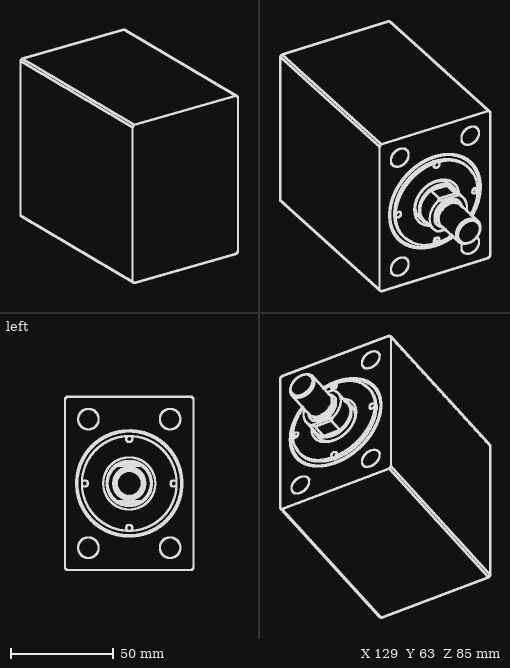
import cadquery as cq
total_length = 129.0
housing_width = 63.0
housing_height = 85.0
housing_front = 32.9
housing_edge_chamfer = 1.0

mount_hole_radius = 5.0
mount_hole_depth = 23.2
mount_spacing_y = 40.0
mount_spacing_z = 63.0

gland_front = 31.2
gland_radius = 23.2
gland_end = 51.6
ring_radius = 25.4
ring_thickness = 7.7
ring_end = housing_front + ring_thickness
bore_chamfer = 0.6
recess_radius = 12.8
recess_depth = 1.5

spanner_hole_count = 4
spanner_hole_radius = 1.5
spanner_hole_depth = 3.9
spanner_circle_radius = 21.8

drill_point_ratio = 0.6

rod_radius = 11.1
flats_radius = 10.6
flats_half_width = 9.5
flats_start = 20.0
flats_end = 29.2
flats_chamfer = 0.9
thread_radius = 7.0
thread_end = 17.7
thread_tip_chamfer = 0.8
neck_radius = 5.8
neck_start = 18.2
neck_end = 19.5
neck_root_radius = neck_radius + flats_start - neck_end
groove_radius = 7.9
groove_depth = 1.5


def revolve_about_x(points):
    """Solid of revolution about the X axis from (x, radius) points."""
    return cq.Workplane("XY").polyline(points).close().revolve(360, (0, 0, 0), (1, 0, 0))


def cylinder_x(radius, start, end):
    """Solid cylinder on the X axis."""
    return cq.Workplane("YZ", origin=(start, 0, 0)).circle(radius).extrude(end - start)


def drilled_hole(radius, start, depth):
    """Cutter for a blind hole along X with a conical bottom."""
    bottom = start + depth
    apex = bottom + radius * drill_point_ratio
    return revolve_about_x([(start, 0), (start, radius), (bottom, radius), (apex, 0)])


def make_housing():
    length = total_length - housing_front
    body = (
        cq.Workplane("YZ", origin=(housing_front, 0, 0))
        .rect(housing_width, housing_height)
        .extrude(length)
        .edges("|X")
        .chamfer(housing_edge_chamfer)
    )

    bore = revolve_about_x([
        (housing_front, 0),
        (housing_front, ring_radius + bore_chamfer),
        (housing_front + bore_chamfer, ring_radius),
        (ring_end, ring_radius),
        (ring_end, gland_radius),
        (gland_end, gland_radius),
        (gland_end, 0),
    ])
    body = body.cut(bore)

    mount_hole = drilled_hole(mount_hole_radius, housing_front, mount_hole_depth)
    for side_y in (-1, 1):
        for side_z in (-1, 1):
            place = (0, side_y * mount_spacing_y / 2, side_z * mount_spacing_z / 2)
            body = body.cut(mount_hole.translate(place))
    return body


def make_ring():
    outer = cylinder_x(ring_radius, housing_front, ring_end)
    return outer.cut(cylinder_x(gland_radius, housing_front, ring_end))


def make_gland():
    body = cylinder_x(gland_radius, gland_front, gland_end)
    body = body.cut(cylinder_x(rod_radius, gland_front, gland_end))

    recess = revolve_about_x([
        (gland_front, 0),
        (gland_front, recess_radius),
        (gland_front + recess_depth, rod_radius),
        (gland_front + recess_depth, 0),
    ])
    body = body.cut(recess)

    spanner_hole = drilled_hole(spanner_hole_radius, gland_front, spanner_hole_depth)
    spanner_hole = spanner_hole.translate((0, 0, spanner_circle_radius))
    for index in range(spanner_hole_count):
        angle = index * 360 / spanner_hole_count
        body = body.cut(spanner_hole.rotate((0, 0, 0), (1, 0, 0), angle))
    return body


def make_rod():
    body = revolve_about_x([
        (0, 0),
        (0, thread_radius - thread_tip_chamfer),
        (thread_tip_chamfer, thread_radius),
        (thread_end, thread_radius),
        (neck_start, neck_radius),
        (neck_end, neck_radius),
        (flats_start, neck_root_radius),
        (flats_start + groove_depth, neck_root_radius),
        (flats_start + groove_depth, groove_radius),
        (flats_start, groove_radius),
        (flats_start, flats_radius),
        (flats_end, flats_radius),
        (flats_end + rod_radius - flats_radius, rod_radius),
        (gland_end, rod_radius),
        (gland_end, 0),
    ])

    flat_cutter = (
        cq.Workplane("XZ")
        .polyline([
            (flats_start, flats_half_width - flats_chamfer),
            (flats_start + flats_chamfer, flats_half_width),
            (flats_end, flats_half_width),
            (flats_end, rod_radius),
            (flats_start, rod_radius),
        ])
        .close()
        .extrude(rod_radius, both=True)
    )
    return body.cut(flat_cutter).cut(flat_cutter.mirror("XY"))


housing = make_housing()
ring = make_ring()
gland = make_gland()
rod = make_rod()

result = cq.Compound.makeCompound([housing.val(), ring.val(), gland.val(), rod.val()])